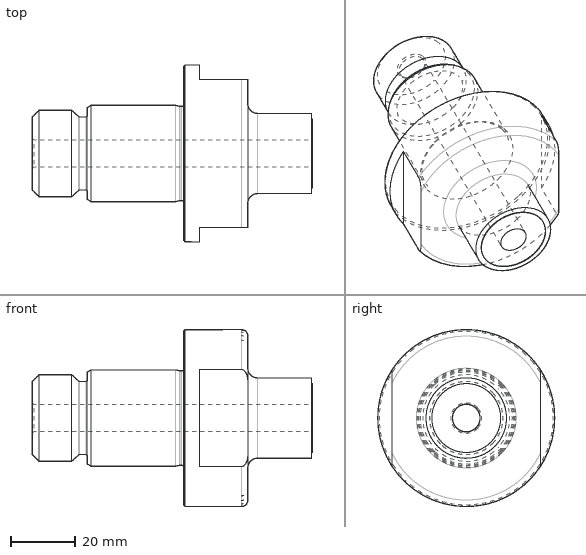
import cadquery as cq
import math

seat_start = 17.1
flange_start = 47.0
flange_end = 67.0
total_length = 87.0

nose_radius = 13.5
nose_chamfer = 2.15
groove_radius = 11.4
groove_start = 12.25
groove_slope_end = 14.55
groove_fillet = 0.4

seat_radius = 15.0
seat_chamfer_length = 1.2
seat_chamfer_height = 0.7

undercut_length = 2.5
undercut_depth = 0.3
undercut_angle = 13.0
undercut_fillet = 0.8
face_relief_depth = 0.2
face_relief_angle = 8.0

flange_radius = 27.5
flange_front_chamfer = 0.5
flange_rear_fillet = 2.0
flat_start = 52.0
flat_distance = 23.0

spigot_radius = 12.5
spigot_fillet = 3.0
end_face_radius = 10.7
end_face_height = 0.2

bore_radius = 4.25
bore_chamfer = 0.5


def arc_point(center, radius, angle):
    """Point on a circle in the (x, radius) half plane, at an angle in degrees."""
    direction = math.radians(angle)
    return (center[0] + radius * math.cos(direction), center[1] + radius * math.sin(direction))


def add_arc(profile, center, radius, start_angle, end_angle):
    """Line to the start of an arc, then follow the arc to its end."""
    return profile.lineTo(*arc_point(center, radius, start_angle)).threePointArc(
        arc_point(center, radius, (start_angle + end_angle) / 2),
        arc_point(center, radius, end_angle),
    )


def add_sloped_floor(profile, corner_x, floor_radius, slope, fillet):
    """Round the corner where a descending slope (in degrees) meets a cylindrical floor."""
    tangent_length = fillet * math.tan(math.radians(slope) / 2)
    center = (corner_x + tangent_length, floor_radius + fillet)
    return add_arc(profile, center, fillet, 270 - slope, 270)


def add_nose(profile):
    """Chamfered nose and groove, up to the shoulder of the seat."""
    profile = (
        profile.lineTo(0, nose_radius - nose_chamfer)
        .lineTo(nose_chamfer, nose_radius)
        .lineTo(groove_start, nose_radius)
    )
    slope = math.degrees(math.atan2(nose_radius - groove_radius, groove_slope_end - groove_start))
    profile = add_sloped_floor(profile, groove_slope_end, groove_radius, slope, groove_fillet)
    shoulder_center = (seat_start - groove_fillet, groove_radius + groove_fillet)
    return add_arc(profile, shoulder_center, groove_fillet, -90, 0)


def add_seat(profile):
    """Seat and the undercut that runs into the flange face."""
    undercut_start = flange_start - undercut_length
    profile = (
        profile.lineTo(seat_start, seat_radius - seat_chamfer_height)
        .lineTo(seat_start + seat_chamfer_length, seat_radius)
        .lineTo(undercut_start, seat_radius)
    )
    floor_radius = seat_radius - undercut_depth
    ramp_end = undercut_start + undercut_depth / math.tan(math.radians(undercut_angle))
    profile = add_sloped_floor(profile, ramp_end, floor_radius, undercut_angle, undercut_fillet)

    corner_x = flange_start + face_relief_depth - undercut_fillet
    corner_center = (corner_x, floor_radius + undercut_fillet)
    profile = add_arc(profile, corner_center, undercut_fillet, -90, -face_relief_angle)
    cone_x, cone_radius = arc_point(corner_center, undercut_fillet, -face_relief_angle)
    cone_height = (cone_x - flange_start) / math.tan(math.radians(face_relief_angle))
    return profile.lineTo(flange_start, cone_radius + cone_height)


def add_flange(profile):
    """Flange rim with a front chamfer and a rounded rear edge."""
    profile = profile.lineTo(flange_start, flange_radius - flange_front_chamfer).lineTo(
        flange_start + flange_front_chamfer, flange_radius
    )
    rim_center = (flange_end - flange_rear_fillet, flange_radius - flange_rear_fillet)
    return add_arc(profile, rim_center, flange_rear_fillet, 90, 0)


def add_spigot(profile):
    """Spigot, filleted into the flange, with its raised end face."""
    root_center = (flange_end + spigot_fillet, spigot_radius + spigot_fillet)
    profile = add_arc(profile, root_center, spigot_fillet, 180, 270)
    rim_x = total_length - end_face_height
    return (
        profile.lineTo(rim_x, spigot_radius)
        .lineTo(rim_x, end_face_radius)
        .lineTo(total_length, end_face_radius)
        .lineTo(total_length, 0)
    )


def revolve_about_x(profile):
    """Close a half profile along the axis and turn it into a solid."""
    return profile.close().revolve(360, (0, 0, 0), (1, 0, 0))


def make_body():
    """Turned body, without bore and flats."""
    profile = cq.Workplane("XY").moveTo(0, 0)
    for add_section in (add_nose, add_seat, add_flange, add_spigot):
        profile = add_section(profile)
    return revolve_about_x(profile)


def make_bore():
    """Through bore with a chamfered mouth at the nose."""
    profile = (
        cq.Workplane("XY")
        .moveTo(0, 0)
        .lineTo(0, bore_radius + bore_chamfer)
        .lineTo(bore_chamfer, bore_radius)
        .lineTo(total_length, bore_radius)
        .lineTo(total_length, 0)
    )
    return revolve_about_x(profile)


def make_flat_cutter(side):
    """Block outside one flat; side is -1 or +1 along Y."""
    length = flange_end - flat_start
    depth = flange_radius - flat_distance
    center = (flat_start + length / 2, side * (flat_distance + depth / 2), 0)
    return cq.Workplane("XY").box(length, depth, 2 * flange_radius).translate(center)


result = make_body().cut(make_bore())
for side in (-1, 1):
    result = result.cut(make_flat_cutter(side))